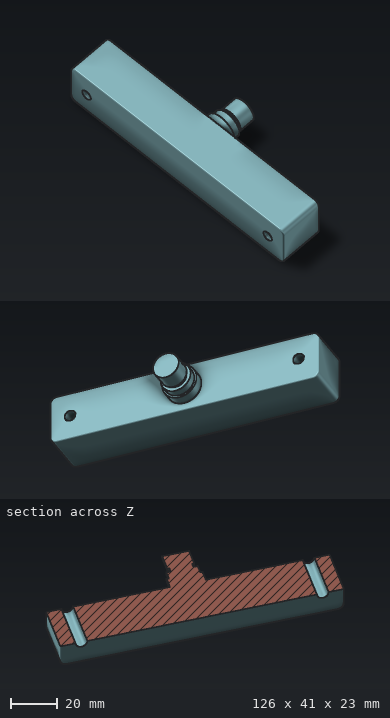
import cadquery as cq

length = 126.0
height = 23.0
total_depth = 41.0
body_depth = 22.0
corner_radius = 3.0
edge_radius = 0.6

hole_diameter = 5.0
hole_spacing = 107.1

connector_steps = [
    (16.1, 27.1),
    (14.1, 31.0),
    (10.3, 32.8),
    (12.1, total_depth),
]


def make_housing():
    housing = (
        cq.Workplane("XY")
        .box(length, body_depth, height, centered=(True, False, True))
        .edges("|Y")
        .fillet(corner_radius)
        .faces("<Y or >Y")
        .edges()
        .fillet(edge_radius)
    )
    holes = (
        cq.Workplane("XZ")
        .pushPoints([(-hole_spacing / 2, 0), (hole_spacing / 2, 0)])
        .circle(hole_diameter / 2)
        .extrude(-body_depth)
    )
    return housing.cut(holes)


def make_connector():
    connector = cq.Workplane("XZ")
    start = body_depth
    for diameter, end in connector_steps:
        step = (
            cq.Workplane("XZ", origin=(0, start, 0))
            .circle(diameter / 2)
            .extrude(start - end)
        )
        connector = connector.add(step)
        start = end
    return connector.combine()


result = make_housing().union(make_connector())